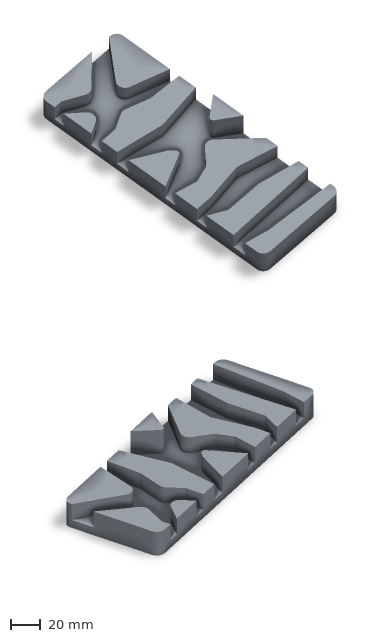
import cadquery as cq

LENGTH = 203.2
WIDTH = 76.2
HEIGHT = 25.5
FLOOR_HEIGHT = HEIGHT / 4
PLATE_HEIGHT = HEIGHT * 3 / 4
CORNER_RADIUS = 6.3
BROAD_TIP_RADIUS = 6.3
NARROW_TIP_RADIUS = 2.6


def island(outline, height=PLATE_HEIGHT, rounded_points=(), radius=BROAD_TIP_RADIUS):
    """Extrude a closed outline up from the underside and round the chosen outline points."""
    body = cq.Workplane("XY").polyline(outline).close().extrude(height)
    for point in rounded_points:
        nearest_edge = cq.NearestToPointSelector((*point, height / 2))
        body = body.edges("|Z").edges(nearest_edge).fillet(radius)
    return body


def rounded_block(height):
    """Full-size block with rounded vertical corners."""
    block = cq.Workplane("XY").box(LENGTH, WIDTH, height, centered=False)
    return block.edges("|Z").fillet(CORNER_RADIUS)


back_left_tip = (36.2, 37.8)
back_left = island(
    [(0, 69), back_left_tip, (48.8, WIDTH), (0, WIDTH)],
    rounded_points=[back_left_tip],
)

front_left_tip = (23.5, 25.6)
front_left = island(
    [(0, 52.2), front_left_tip, (13.6, 6.7), (13.6, 0), (0, 0)],
    rounded_points=[front_left_tip],
)

small_front_tip = (38.2, 17.7)
small_front = island(
    [(21.7, 0), small_front_tip, (47.0, 0)],
    rounded_points=[small_front_tip],
)

left_strip_tip = (49.0, 28.2)
left_strip = island(
    [
        (57.0, WIDTH), (55.9, 49.0), left_strip_tip, (56.3, 13.6),
        (56.3, 0), (70.3, 0), (77.2, 37.8), (72.1, WIDTH),
    ],
    rounded_points=[left_strip_tip],
)

raised_tip = (101.4, 57.0)
raised_back = island(
    [(87.8, WIDTH), raised_tip, (115.2, WIDTH)],
    height=HEIGHT,
    rounded_points=[raised_tip],
    radius=NARROW_TIP_RADIUS,
)

middle_front_tip = (101.0, 29.7)
middle_front = island(
    [(80.7, 0), (94.7, 24.0), middle_front_tip, (114.0, 0)],
    rounded_points=[middle_front_tip],
    radius=NARROW_TIP_RADIUS,
)

middle_strip_tip = (106.5, 47.0)
middle_strip_bend = (122.7, 31.0)
middle_strip = island(
    [
        (136.0, WIDTH), middle_strip_tip, middle_strip_bend, (126.8, 17.7), (122.7, 0),
        (142.6, 0), (142.6, 13.6), (138.2, 44.3), (146.3, WIDTH),
    ],
    rounded_points=[middle_strip_tip, middle_strip_bend],
)

right_strip = island(
    [(165.5, WIDTH), (158.7, 43.9), (158.7, 13.6), (151.2, 0), (175.8, 0), (174.0, WIDTH)]
)

end_strip = island(
    [(194.0, WIDTH), (190.2, 18.9), (186.1, 0), (LENGTH, 0), (LENGTH, WIDTH)]
)

islands = [
    back_left, front_left, small_front, left_strip, raised_back,
    middle_front, middle_strip, right_strip, end_strip,
]

result = rounded_block(FLOOR_HEIGHT)
envelope = rounded_block(HEIGHT)
for body in islands:
    result = result.union(body.intersect(envelope))